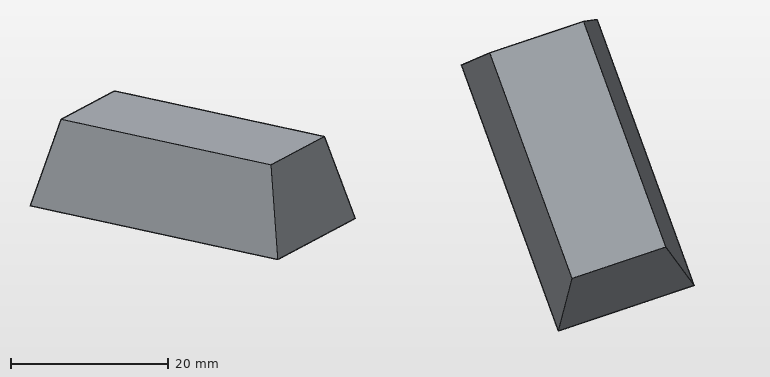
import cadquery as cq

base_length = 37.35
base_width = 18.3
height = 11.4
side_inset = 2.85

top_length = base_length - 2 * side_inset
top_width = base_width - 2 * side_inset

result = (
    cq.Workplane("XY")
    .rect(base_length, base_width)
    .workplane(offset=height)
    .rect(top_length, top_width)
    .loft(ruled=True, combine=True)
)